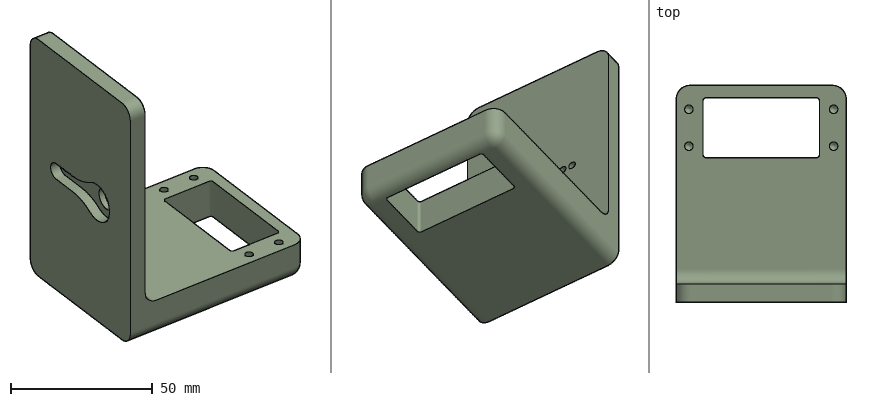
import cadquery as cq
import math

WIDTH = 60.0
DEPTH = 76.5
HEIGHT = 100.0
WALL_THICKNESS = 6.5
BASE_THICKNESS = 15.0
CORNER_RADIUS = 5.0

WINDOW_LENGTH = 41.0
WINDOW_WIDTH = 21.0
WINDOW_CORNER_RADIUS = 1.0
WINDOW_CENTRE_Y = DEPTH - 15.0

SCREW_DIAMETER = 3.0
SCREW_DEPTH = 10.0
SCREW_POINT_ANGLE = 118.0
SCREW_SPACING_X = 51.0
SCREW_SPACING_Y = 13.0

POCKET_DEPTH = 4.0
POCKET_CENTRE_Z = HEIGHT / 2
HEAD_X = 10.0
HEAD_RADIUS = 7.5
TAIL_X = -14.5
TAIL_RADIUS = 3.25
NECK_RADIUS = 20.0

SHAFT_DIAMETER = 8.5
PIN_DIAMETER = 2.8
PIN_SPACING = 4.0


def make_bracket():
    """L-shaped body with rounded outer corners and a filleted inner corner."""
    profile = [
        (0, 0),
        (DEPTH, 0),
        (DEPTH, BASE_THICKNESS),
        (WALL_THICKNESS, BASE_THICKNESS),
        (WALL_THICKNESS, HEIGHT),
        (0, HEIGHT),
    ]
    body = cq.Workplane("YZ").polyline(profile).close().extrude(WIDTH / 2, both=True)
    body = body.edges("|Y and >Z").fillet(CORNER_RADIUS)
    body = body.edges("|Z and >Y").fillet(CORNER_RADIUS)
    body = body.faces("<Z").edges("not <Y").fillet(CORNER_RADIUS)
    inner_corner = cq.selectors.NearestToPointSelector((0, WALL_THICKNESS, BASE_THICKNESS))
    return body.edges(inner_corner).fillet(CORNER_RADIUS)


def make_window():
    """Cutter for the window through the base."""
    block = cq.Workplane("XY").center(0, WINDOW_CENTRE_Y).rect(WINDOW_LENGTH, WINDOW_WIDTH)
    return block.extrude(BASE_THICKNESS).edges("|Z").fillet(WINDOW_CORNER_RADIUS)


def make_screw_holes():
    """Cutters for the four blind holes, each with a conical drill point."""
    radius = SCREW_DIAMETER / 2
    point_length = radius / math.tan(math.radians(SCREW_POINT_ANGLE / 2))
    half_section = [(0, 0), (radius, 0), (radius, -SCREW_DEPTH), (0, -SCREW_DEPTH - point_length)]
    drill = cq.Workplane("XZ").polyline(half_section).close().revolve(360, (0, 0), (0, 1)).val()
    top_plane = cq.Workplane("XY", origin=(0, WINDOW_CENTRE_Y, BASE_THICKNESS))
    holes = top_plane.rarray(SCREW_SPACING_X, SCREW_SPACING_Y, 2, 2)
    return holes.eachpoint(lambda place: drill.moved(place))


def front_plane():
    """Workplane on the front face, centred on the pocket height, with its normal along -Y."""
    return cq.Workplane("XZ", origin=(0, 0, POCKET_CENTRE_Z))


def make_pocket():
    """Keyhole cutter: a round head blended into a narrow round-ended tail by tangent arcs."""
    blend_z = TAIL_RADIUS + NECK_RADIUS
    blend_reach = HEAD_RADIUS + NECK_RADIUS
    blend_x = HEAD_X - math.sqrt(blend_reach**2 - blend_z**2)
    head_share = HEAD_RADIUS / blend_reach
    joint_x = HEAD_X + (blend_x - HEAD_X) * head_share
    joint_z = blend_z * head_share
    return (
        front_plane()
        .moveTo(TAIL_X, -TAIL_RADIUS)
        .lineTo(blend_x, -TAIL_RADIUS)
        .radiusArc((joint_x, -joint_z), NECK_RADIUS)
        .threePointArc((HEAD_X + HEAD_RADIUS, 0), (joint_x, joint_z))
        .radiusArc((blend_x, TAIL_RADIUS), NECK_RADIUS)
        .lineTo(TAIL_X, TAIL_RADIUS)
        .threePointArc((TAIL_X - TAIL_RADIUS, 0), (TAIL_X, -TAIL_RADIUS))
        .close()
        .extrude(-POCKET_DEPTH)
    )


def make_wall_hole(x, diameter):
    """Cutter for a round hole through the upright plate."""
    return front_plane().center(x, 0).circle(diameter / 2).extrude(-WALL_THICKNESS)


result = make_bracket()
result = result.cut(make_window()).cut(make_screw_holes()).cut(make_pocket())
result = result.cut(make_wall_hole(HEAD_X, SHAFT_DIAMETER))
for pin_x in (TAIL_X, TAIL_X + PIN_SPACING):
    result = result.cut(make_wall_hole(pin_x, PIN_DIAMETER))